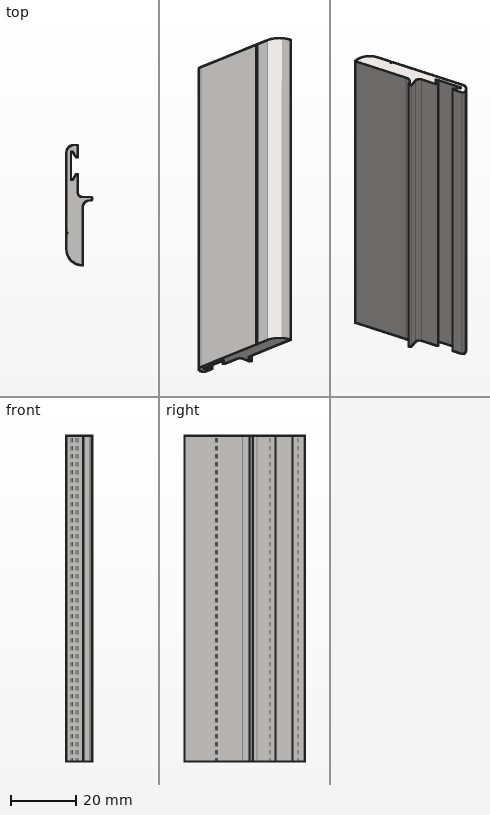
import cadquery as cq

length = 100.0
width = 37.0
fin_reach = 8.0

lower_thickness = 5.1
upper_thickness = 3.6
lower_edge_radius = 5.0
upper_edge_radius = 2.5
hook_corner_radius = 0.5

fin_top = width - 16.0
fin_thickness = 1.1
fin_tip_radius = 0.5
fin_upper_fillet = 1.3
fin_lower_fillet = 2.1

slot_wall = 1.5
lip_root_x = 1.9
lip_tip_x = 3.0
slot_width = 8.7
hook_depth = 2.1
slot_center_y = width - hook_depth - slot_width / 2
mouth_width = 5.1

groove_center_y = width - 27.1
groove_width = 0.6
groove_depth = 0.3


def block(x_min, x_max, y_min, y_max):
    """Full-length block spanning the given X and Y ranges."""
    return (
        cq.Workplane("XY")
        .box(x_max - x_min, y_max - y_min, length, centered=False)
        .translate((x_min, y_min, 0))
    )


def round_edge(body, x, y, radius):
    """Round the lengthwise edge at the given section point."""
    edge = cq.selectors.NearestToPointSelector((x, y, length / 2))
    return body.edges("|Z").edges(edge).fillet(radius)


def make_body():
    """Stepped plate with its fin, edge rounds and root fillets."""
    fin_bottom = fin_top - fin_thickness
    body = (
        block(0, upper_thickness, 0, width)
        .union(block(0, lower_thickness, 0, fin_top))
        .union(block(0, fin_reach, fin_bottom, fin_top))
        .clean()
    )
    rounds = [
        (0, 0, lower_edge_radius),
        (0, width, upper_edge_radius),
        (upper_thickness, width, hook_corner_radius),
        (upper_thickness, fin_top, fin_upper_fillet),
        (lower_thickness, fin_bottom, fin_lower_fillet),
        (fin_reach, fin_top, fin_tip_radius),
        (fin_reach, fin_bottom, fin_tip_radius),
    ]
    for x, y, radius in rounds:
        body = round_edge(body, x, y, radius)
    return body


def make_slot():
    """Cutter for the slot, with sloping flanks behind both lips."""
    half_slot = slot_width / 2
    half_mouth = mouth_width / 2
    return (
        cq.Workplane("XY")
        .moveTo(slot_wall, slot_center_y - half_slot)
        .lineTo(lip_root_x, slot_center_y - half_slot)
        .lineTo(lip_tip_x, slot_center_y - half_mouth)
        .lineTo(upper_thickness, slot_center_y - half_mouth)
        .lineTo(upper_thickness, slot_center_y + half_mouth)
        .lineTo(lip_tip_x, slot_center_y + half_mouth)
        .lineTo(lip_root_x, slot_center_y + half_slot)
        .lineTo(slot_wall, slot_center_y + half_slot)
        .close()
        .extrude(length)
    )


def make_groove():
    """Triangular cutter for the groove in the outer face."""
    return (
        cq.Workplane("XY")
        .moveTo(0, groove_center_y - groove_width / 2)
        .lineTo(groove_depth, groove_center_y)
        .lineTo(0, groove_center_y + groove_width / 2)
        .close()
        .extrude(length)
    )


result = make_body().cut(make_slot()).cut(make_groove())